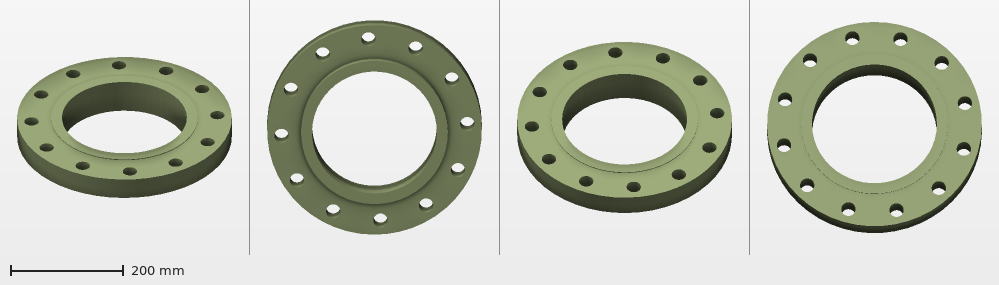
import cadquery as cq

flange_diameter = 381.0
total_height = 61.98
bore_diameter = 221.5

flange_thickness = 39.6
raised_face_height = 1.52
hub_height = total_height - flange_thickness - raised_face_height

hub_diameter = 260.35
raised_face_diameter = 260.35

bolt_hole_count = 12
bolt_hole_diameter = 25.4
bolt_circle_diameter = 330.2
bolt_start_angle = 180.0 / bolt_hole_count


def disc(diameter, height, bottom_z):
    """Solid disc on the Z axis, standing on the given height."""
    return cq.Workplane("XY").workplane(offset=bottom_z).circle(diameter / 2).extrude(height)


def flange_body():
    """Hub, flange plate and raised face stacked along Z."""
    hub = disc(hub_diameter, hub_height, 0)
    plate = disc(flange_diameter, flange_thickness, hub_height)
    raised_face = disc(raised_face_diameter, raised_face_height, hub_height + flange_thickness)
    return hub.union(plate).union(raised_face)


def bolt_holes():
    """Ring of cylinders that cut through the flange plate."""
    return (
        cq.Workplane("XY")
        .workplane(offset=hub_height)
        .polarArray(bolt_circle_diameter / 2, bolt_start_angle, 360, bolt_hole_count)
        .circle(bolt_hole_diameter / 2)
        .extrude(flange_thickness)
    )


bore = disc(bore_diameter, total_height, 0)
result = flange_body().cut(bore).cut(bolt_holes())